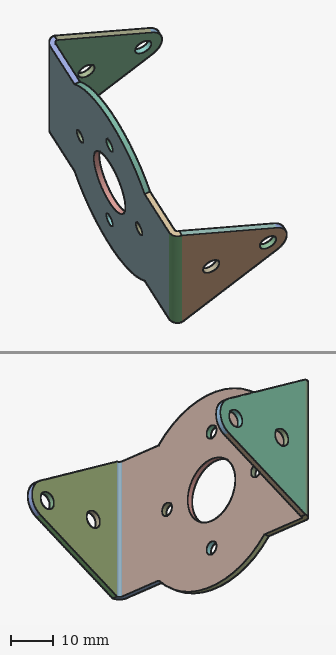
import cadquery as cq
import math

width = 65.0
depth = 30.0
sheet = 1.5
bend_outer_radius = 2.3
bend_inner_radius = bend_outer_radius - sheet
plate_height = 35.0
disc_diameter = 50.0

bore_diameter = 16.0
mount_hole_diameter = 3.3
mount_circle_radius = 15.0
mount_hole_count = 4

tip_radius = 5.0
ear_hole_diameter = 4.3
ear_hole_spacing = 15.0
tip_center_y = depth - tip_radius
half_height = plate_height / 2


def make_channel():
    """U-shaped strip with rounded bends; its front face lies at Y = 0."""
    outer = cq.Workplane("XY").box(width, depth, plate_height, centered=(True, False, True))
    outer = outer.edges("|Z and <Y").fillet(bend_outer_radius)
    inner = (
        cq.Workplane("XY")
        .box(width - 2 * sheet, depth, plate_height, centered=(True, False, True))
        .edges("|Z and <Y")
        .fillet(bend_inner_radius)
        .translate((0, sheet, 0))
    )
    return outer.cut(inner)


def make_ear_envelope():
    """Side outline through the full width: straight bend zone, then a taper tangent to the tip."""
    run = bend_outer_radius - tip_center_y
    corner_distance = math.hypot(run, half_height)
    tangent_angle = math.atan2(half_height, run) - math.acos(tip_radius / corner_distance)
    tangent_y = tip_center_y + tip_radius * math.cos(tangent_angle)
    tangent_z = tip_radius * math.sin(tangent_angle)
    return (
        cq.Workplane("YZ")
        .moveTo(0, -half_height)
        .lineTo(bend_outer_radius, -half_height)
        .lineTo(tangent_y, -tangent_z)
        .threePointArc((depth, 0), (tangent_y, tangent_z))
        .lineTo(bend_outer_radius, half_height)
        .lineTo(0, half_height)
        .close()
        .extrude(width / 2, both=True)
    )


def plate_cylinder(diameter):
    """Cylinder along Y spanning the front plate thickness."""
    return cq.Workplane("XZ").circle(diameter / 2).extrude(-sheet)


def make_mount_holes():
    return (
        cq.Workplane("XZ")
        .polarArray(mount_circle_radius, 0, 360, mount_hole_count)
        .circle(mount_hole_diameter / 2)
        .extrude(-sheet)
    )


def make_ear_holes():
    """Pairs of holes through both ears; the rear one is concentric with the tip."""
    return (
        cq.Workplane("YZ")
        .pushPoints([(tip_center_y, 0), (tip_center_y - ear_hole_spacing, 0)])
        .circle(ear_hole_diameter / 2)
        .extrude(width / 2, both=True)
    )


bracket = make_channel().intersect(make_ear_envelope())
bracket = bracket.union(plate_cylinder(disc_diameter))
bracket = bracket.cut(plate_cylinder(bore_diameter))
bracket = bracket.cut(make_mount_holes())
result = bracket.cut(make_ear_holes())